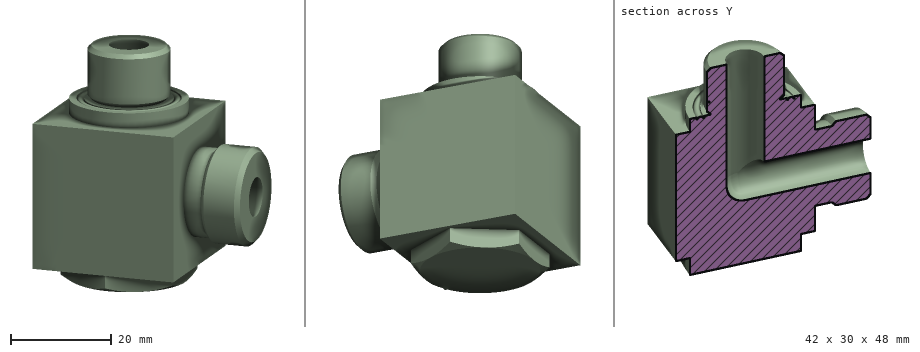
import cadquery as cq
import math

total_height = 48.0
total_length = 42.0
block_side = 30.0
block_half = block_side / 2

flange_diameter = 24.0
flange_height = 3.0
stud_diameter = 16.65
stud_height = 11.0
stud_chamfer = 0.8
bore_diameter = 8.0
bore_radius = bore_diameter / 2

ring_outer_diameter = 21.0
ring_inner_diameter = 18.0

neck_diameter = 18.15
neck_length = 3.6
collar_diameter = 20.0
port_length = total_length - block_side
collar_length = port_length - neck_length
collar_chamfer = (collar_diameter - neck_diameter) / 2

hex_across_flats = 24.0
hex_chamfer_angle = 30.0
hex_height = total_height - block_side - flange_height - stud_height

flange_top = block_half + flange_height
stud_top = flange_top + stud_height
port_end = block_half + port_length


def chamfered_cylinder(plane, diameter, length, chamfer):
    """Cylinder with both end rims chamfered."""
    return cq.Workplane(plane).circle(diameter / 2).extrude(length).edges("%CIRCLE").chamfer(chamfer)


def make_sealed_flange():
    """Flange whose top groove holds a round ring, flush with the face."""
    ring_section_radius = (ring_outer_diameter - ring_inner_diameter) / 4
    ring_centre_radius = (ring_outer_diameter + ring_inner_diameter) / 4
    flange = cq.Workplane("XY", origin=(0, 0, block_half)).circle(flange_diameter / 2).extrude(flange_height)
    groove = (
        cq.Workplane("XY", origin=(0, 0, flange_top))
        .circle(ring_outer_diameter / 2)
        .circle(ring_inner_diameter / 2)
        .extrude(-ring_section_radius)
    )
    ring = cq.Workplane(
        cq.Solid.makeTorus(
            ring_centre_radius,
            ring_section_radius,
            cq.Vector(0, 0, flange_top - ring_section_radius),
        )
    )
    return flange.cut(groove).union(ring)


def make_stud():
    plane = cq.Plane(origin=(0, 0, flange_top))
    return chamfered_cylinder(plane, stud_diameter, stud_height, stud_chamfer)


def make_port():
    neck_plane = cq.Plane(origin=(block_half, 0, 0), xDir=(0, 1, 0), normal=(1, 0, 0))
    collar_plane = cq.Plane(origin=(block_half + neck_length, 0, 0), xDir=(0, 1, 0), normal=(1, 0, 0))
    neck = cq.Workplane(neck_plane).circle(neck_diameter / 2).extrude(neck_length)
    collar = chamfered_cylinder(collar_plane, collar_diameter, collar_length, collar_chamfer)
    return neck.union(collar)


def make_hex_head():
    """Hexagon with flats facing +X and -X, its lower corners cut by a cone."""
    across_corners = hex_across_flats / math.cos(math.radians(30))
    corner_radius = across_corners / 2
    flat_radius = hex_across_flats / 2
    chamfer_height = (corner_radius - flat_radius) * math.tan(math.radians(hex_chamfer_angle))
    bottom = -block_half - hex_height
    prism = (
        cq.Workplane("XY", origin=(0, 0, bottom))
        .transformed(rotate=(0, 0, 90))
        .polygon(6, across_corners)
        .extrude(hex_height)
    )
    envelope = (
        cq.Workplane("XZ")
        .moveTo(0, bottom)
        .lineTo(flat_radius, bottom)
        .lineTo(corner_radius, bottom + chamfer_height)
        .lineTo(corner_radius, -block_half)
        .lineTo(0, -block_half)
        .close()
        .revolve(360, (0, 0), (0, 1))
    )
    return prism.intersect(envelope)


def make_passage():
    """Vertical bore meeting the port bore, with a spherical end at the elbow."""
    vertical = cq.Workplane("XY").circle(bore_radius).extrude(stud_top)
    horizontal = cq.Workplane("YZ").circle(bore_radius).extrude(port_end)
    elbow = cq.Workplane("XY").sphere(bore_radius)
    return vertical.union(horizontal).union(elbow)


block = cq.Workplane("XY").box(block_side, block_side, block_side)
body = block.union(make_sealed_flange()).union(make_stud()).union(make_port()).union(make_hex_head())
result = body.cut(make_passage())